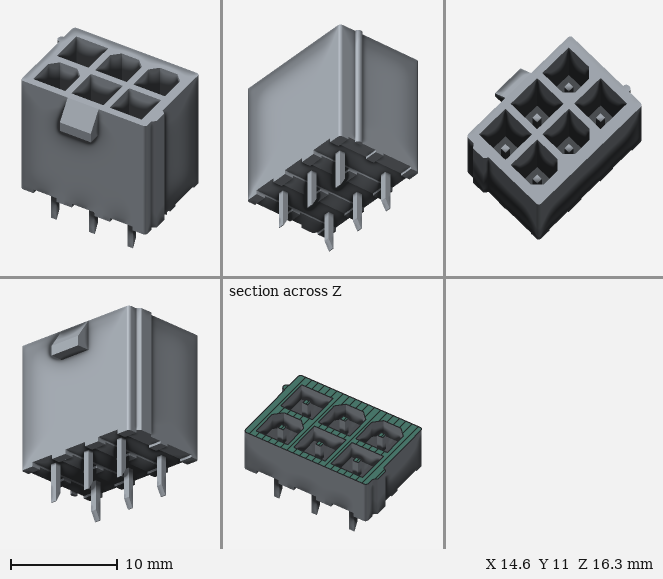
import cadquery as cq


overall_x = 14.6
overall_y = 11.0
overall_z = 16.3

body_x = 13.82
body_y = 9.6
body_z = 12.8
corner_radius = 0.33

columns = 3
pitch = 4.2
grid_y = -0.2
column_xs = [(i - (columns - 1) / 2) * pitch for i in range(columns)]
row_sides = (-1, 1)

cavity_side = 3.5
cavity_depth = 10.0
cavity_chamfer = 0.8
keyed_cavities = ((0, -1), (1, 1), (2, 1))
floor_z = body_z - cavity_depth

pin_side = 0.6
blade_height = 4.89
tail_row_offset = 2.75
tail_length = overall_z - body_z
tail_bevel = 0.95
tail_tip = 0.08

column_groove_width = 2.5
column_groove_depth = 0.44
row_groove_width = 3.33
row_groove_depth = 0.25
row_groove_offset = 2.14

latch_width = 3.4
latch_reach = overall_y - body_y
latch_height = 3.0
latch_slope_height = 2.0

rib_reach = (overall_x - body_x) / 2
round_rib_y = 2.59
round_rib_width = 0.78
round_rib_radius = 0.36
wide_rib_y = -2.82
wide_rib_base = 1.97
wide_rib_tip = 1.37


def make_housing():
    housing = cq.Workplane("XY").box(body_x, body_y, body_z, centered=(True, True, False))
    return housing.edges("|Z").fillet(corner_radius)


def make_cavity(x, y, keyed):
    cavity = (
        cq.Workplane("XY", origin=(x, y, floor_z))
        .rect(cavity_side, cavity_side)
        .extrude(cavity_depth)
    )
    if keyed:
        cavity = cavity.faces(">Y").edges("|Z").chamfer(cavity_chamfer)
    return cavity


def cut_grooves(housing):
    for x in column_xs:
        groove = cq.Workplane("XY").box(column_groove_width, body_y, 2 * column_groove_depth)
        housing = housing.cut(groove.translate((x, 0, 0)))
    for side in row_sides:
        groove = cq.Workplane("XY").box(body_x, row_groove_width, 2 * row_groove_depth)
        housing = housing.cut(groove.translate((0, side * row_groove_offset, 0)))
    return housing


def make_latch():
    face_y = -body_y / 2
    tip_y = face_y - latch_reach
    return (
        cq.Workplane("YZ")
        .moveTo(face_y, body_z)
        .lineTo(tip_y, body_z - latch_slope_height)
        .lineTo(tip_y, body_z - latch_height)
        .lineTo(face_y, body_z - latch_height)
        .close()
        .extrude(latch_width / 2, both=True)
    )


def make_round_rib():
    rib = (
        cq.Workplane("XY", origin=(-body_x / 2 - rib_reach / 2, round_rib_y, 0))
        .rect(rib_reach, round_rib_width)
        .extrude(body_z)
    )
    return rib.faces("<X").edges("|Z").fillet(round_rib_radius)


def make_wide_rib():
    face_x = body_x / 2
    tip_x = face_x + rib_reach
    return (
        cq.Workplane("XY", origin=(0, 0, row_groove_depth))
        .moveTo(face_x, wide_rib_y - wide_rib_base / 2)
        .lineTo(tip_x, wide_rib_y - wide_rib_tip / 2)
        .lineTo(tip_x, wide_rib_y + wide_rib_tip / 2)
        .lineTo(face_x, wide_rib_y + wide_rib_base / 2)
        .close()
        .extrude(body_z - row_groove_depth)
    )


def make_blade(x, y):
    return (
        cq.Workplane("XY", origin=(x, y, floor_z))
        .rect(pin_side, pin_side)
        .extrude(blade_height)
    )


def make_tail(x, side):
    inner_y = grid_y + side * (tail_row_offset - pin_side / 2)
    outer_y = inner_y + side * pin_side
    return (
        cq.Workplane("YZ", origin=(x, 0, 0))
        .moveTo(inner_y, floor_z)
        .lineTo(outer_y, floor_z)
        .lineTo(outer_y, -tail_length)
        .lineTo(outer_y - side * tail_tip, -tail_length)
        .lineTo(inner_y, tail_bevel - tail_length)
        .close()
        .extrude(pin_side / 2, both=True)
    )


result = cut_grooves(make_housing())
result = result.union(make_latch()).union(make_round_rib()).union(make_wide_rib())

for column, x in enumerate(column_xs):
    for side in row_sides:
        y = grid_y + side * pitch / 2
        result = result.cut(make_cavity(x, y, (column, side) in keyed_cavities))
        result = result.union(make_blade(x, y)).union(make_tail(x, side))